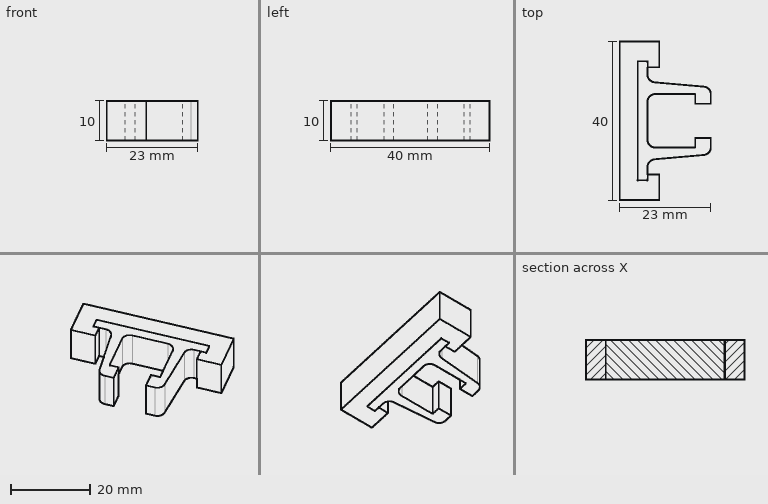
import cadquery as cq
import math

HEIGHT = 10.0

BLOCK_LENGTH = 40.0
BLOCK_DEPTH = 10.0
MOUTH_WIDTH = 26.95

PLATE_BACK_X = 4.5
PLATE_FRONT_X = 7.0
PLATE_LENGTH = 30.0
PLATE_CORNER_RADIUS = 0.3

CLIP_TIP_X = 23.0
ARM_GAP = 13.45
ARM_ROOT_THICKNESS = 3.15
ARM_TAPER_ANGLE = 5.0
ARM_FILLET_RADIUS = 2.0

HOOK_LENGTH = 4.0
HOOK_GAP = 8.55

PLATE_THICKNESS = PLATE_FRONT_X - PLATE_BACK_X


def box_from(x_start, x_end, width):
    """Full-height box between two X positions, centred on Y = 0."""
    return (
        cq.Workplane("XY")
        .box(x_end - x_start, width, HEIGHT, centered=(False, True, False))
        .translate((x_start, 0, 0))
    )


def make_channel():
    """Block with a T-slot: a wide slot for the plate behind a narrower mouth."""
    block = box_from(0, BLOCK_DEPTH, BLOCK_LENGTH)
    slot = box_from(PLATE_BACK_X, PLATE_FRONT_X, PLATE_LENGTH)
    mouth = box_from(PLATE_FRONT_X, BLOCK_DEPTH, MOUTH_WIDTH)
    return block.cut(slot).cut(mouth)


def make_arm():
    """Tapered arm on the +Y side, ending in a hook that points inward."""
    arm_inner_y = ARM_GAP / 2
    root_outer_y = arm_inner_y + ARM_ROOT_THICKNESS
    taper_drop = (CLIP_TIP_X - PLATE_FRONT_X) * math.tan(math.radians(ARM_TAPER_ANGLE))
    tip_outer_y = root_outer_y - taper_drop
    hook_inner_x = CLIP_TIP_X - HOOK_LENGTH
    root_x = PLATE_FRONT_X - PLATE_THICKNESS / 2
    tip_corner = cq.selectors.NearestToPointSelector((CLIP_TIP_X, tip_outer_y, HEIGHT / 2))
    return (
        cq.Workplane("XY")
        .moveTo(root_x, arm_inner_y)
        .lineTo(hook_inner_x, arm_inner_y)
        .lineTo(hook_inner_x, HOOK_GAP / 2)
        .lineTo(CLIP_TIP_X, HOOK_GAP / 2)
        .lineTo(CLIP_TIP_X, tip_outer_y)
        .lineTo(PLATE_FRONT_X, root_outer_y)
        .lineTo(root_x, root_outer_y)
        .close()
        .extrude(HEIGHT)
        .edges(tip_corner)
        .fillet(ARM_FILLET_RADIUS)
    )


def make_clip():
    """Base plate with two mirrored hooked arms."""
    plate = box_from(PLATE_BACK_X, PLATE_FRONT_X, PLATE_LENGTH).edges("|Z").fillet(PLATE_CORNER_RADIUS)
    arm = make_arm()
    clip = plate.union(arm).union(arm.mirror("XZ"))

    root_edges = cq.selectors.BoxSelector(
        (PLATE_FRONT_X - PLATE_THICKNESS / 2, -MOUTH_WIDTH / 2, 0),
        (PLATE_FRONT_X + PLATE_THICKNESS / 2, MOUTH_WIDTH / 2, HEIGHT),
    )
    return clip.edges("|Z").edges(root_edges).fillet(ARM_FILLET_RADIUS)


channel = make_channel()
clip = make_clip()

result = cq.Compound.makeCompound([channel.val(), clip.val()])